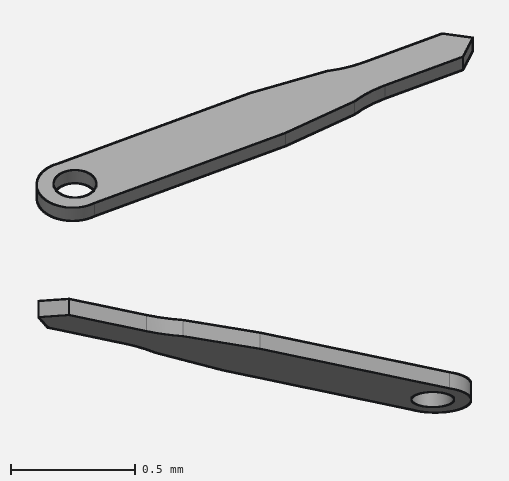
import cadquery as cq
import math

length = 2.0
body_width = 0.288
thickness = 0.07

round_end_height = 0.165
body_top = 1.05
taper_top = 1.388
taper_top_width = 0.22
neck_bottom = 1.545
neck_width = 0.168
tip_height = 0.095

hole_diameter = 0.172
hole_height = 0.155

body_half = body_width / 2
taper_half = taper_top_width / 2
neck_half = neck_width / 2
shoulder_height = length - tip_height

flare_drop = neck_bottom - taper_top
flare_offset = taper_half - neck_half
flare_radius = (flare_drop**2 + flare_offset**2) / (2 * flare_offset)
flare_mid_drop = flare_drop / 2
flare_mid_half = neck_half + flare_radius - math.sqrt(flare_radius**2 - flare_mid_drop**2)
flare_mid_height = neck_bottom - flare_mid_drop


def make_blade():
    """Flat blade with a rounded end, tapered waist, flared neck and pointed tip."""
    outline = (
        cq.Workplane("XY")
        .moveTo(-body_half, round_end_height)
        .threePointArc((0, 0), (body_half, round_end_height))
        .lineTo(body_half, body_top)
        .lineTo(taper_half, taper_top)
        .threePointArc((flare_mid_half, flare_mid_height), (neck_half, neck_bottom))
        .lineTo(neck_half, shoulder_height)
        .lineTo(0, length)
        .lineTo(-neck_half, shoulder_height)
        .lineTo(-neck_half, neck_bottom)
        .threePointArc((-flare_mid_half, flare_mid_height), (-taper_half, taper_top))
        .lineTo(-body_half, body_top)
        .close()
    )
    return outline.extrude(thickness)


def make_pivot_hole():
    """Cylinder that pierces the rounded end."""
    return (
        cq.Workplane("XY")
        .center(0, hole_height)
        .circle(hole_diameter / 2)
        .extrude(thickness)
    )


result = make_blade().cut(make_pivot_hole())